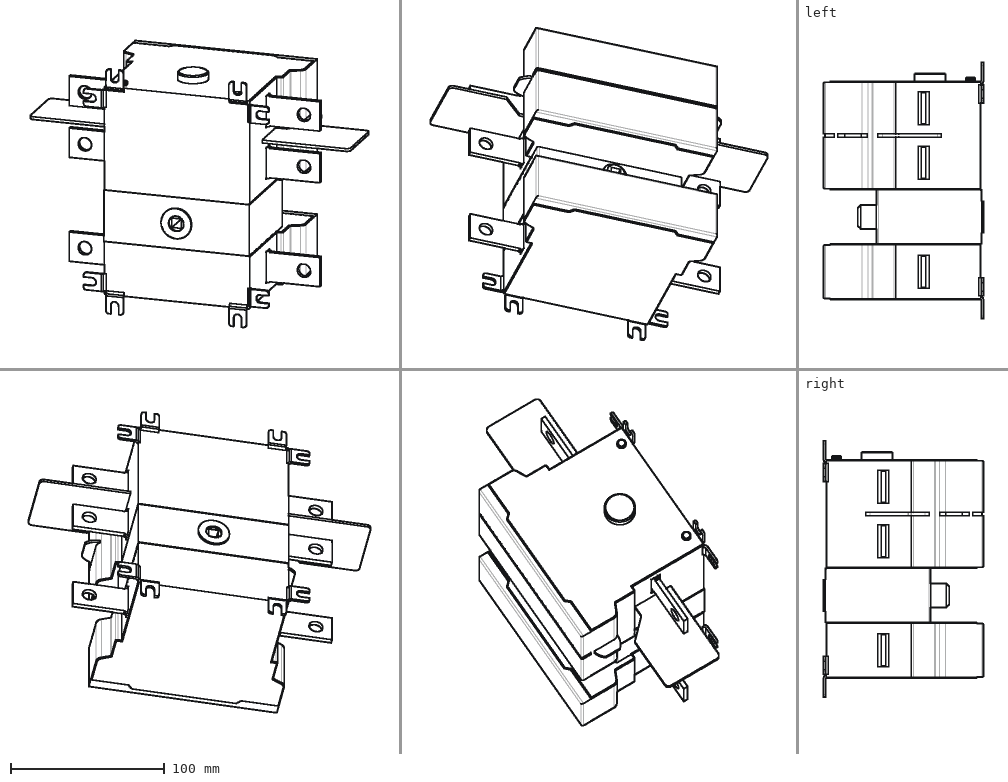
import cadquery as cq

BODY_HALF_WIDTH = 50.0
WAIST_HALF_WIDTH = 54.0
BACK_HALF_WIDTH = 62.5
WAIST_Y = 55.5
SLOPE_START_Y = 70.8
SLOPE_END_Y = 74.8
BACK_Y = 102.5
WAIST_ROUND = 1.3
SHOULDER_ROUND = 4.5
SLOPE_FOOT_ROUND = 0.9
BACK_EDGE_ROUND = 1.3
END_EDGE_CHAMFER = 0.7

COVER_INSET = 0.7
COVER_SIDE_Y = 95.3
COVER_MIDDLE_Y = 98.3
COVER_STEP_OUTER = 37.6
COVER_STEP_INNER = 34.8

DRIVE_HALF_HEIGHT = 17.5
UPPER_MODULE_HEIGHT = 70.8
LOWER_MODULE_HEIGHT = 36.3
STACK_TOP = DRIVE_HALF_HEIGHT + UPPER_MODULE_HEIGHT
STACK_BOTTOM = -DRIVE_HALF_HEIGHT - LOWER_MODULE_HEIGHT
BARRIER_Z = DRIVE_HALF_HEIGHT + UPPER_MODULE_HEIGHT / 2
POLE_PITCH = UPPER_MODULE_HEIGHT / 2
POLE_HEIGHTS = (
    BARRIER_Z + POLE_PITCH / 2,
    BARRIER_Z - POLE_PITCH / 2,
    -DRIVE_HALF_HEIGHT - LOWER_MODULE_HEIGHT / 2,
)

DRIVE_FRONT_Y = -0.7
DRIVE_BACK_Y = 68.0
DRIVE_EDGE_ROUND = 1.3
DISC_RADIUS = 10.3
DISC_FRONT_Y = -2.0
DISC_BORE_RADIUS = 5.17
DISC_BORE_DEPTH = 1.3
SHAFT_SQUARE = 6.4
HUB_RADIUS = 8.0
HUB_BACK_Y = 80.0
HUB_CHAMFER = 2.0

BLADE_TIP_X = 86.0
BLADE_HEIGHT = 20.0
BLADE_THICKNESS = 3.0
BLADE_Y = 37.2
BLADE_HOLE_X = 75.2
BLADE_HOLE_DIAMETER = 9.0
BLADE_FLARE_X = 52.0
WINDOW_HEIGHT = 21.3
WINDOW_WIDTH = 7.0
WINDOW_DEPTH = 8.8

BARRIER_HALF_WIDTH = 110.0
BARRIER_THICKNESS = 2.0
BARRIER_FRONT_Y = 25.5
BARRIER_BACK_Y = 66.9
BARRIER_NECK_Y = 53.2
BARRIER_NECK_X = 57.5
BARRIER_SLANT_X = 70.8
BARRIER_ROUND = 2.9
FLANGE_HALF_WIDTH = 69.7
FLANGE_FRONT_Y = 74.0
FLANGE_BACK_Y = 93.0
FLANGE_SIDE_FRONT_Y = 77.7
FLANGE_SIDE_BACK_Y = 88.7
FLANGE_BULGE = 0.9
GROOVE_DEPTH = 1.0

LUG_WIDTH = 11.9
LUG_FRONT_Y = -2.0
LUG_BACK_Y = -0.33
LUG_SLOT_WIDTH = 5.5
LUG_SLOT_DEPTH = 8.5
LUG_TIP_ROUND = 2.0
LUG_BEND_DROP = 1.3
LUG_BEND_Y = -1.5
LUG_ROOT_DROP = 2.9
VERTICAL_LUG_X = 42.2
VERTICAL_LUG_REACH = 12.3
SIDE_LUG_REACH = 13.6
SIDE_LUG_INSET = 8.4
LUG_LENGTH = 12.0

BUTTON_Y = 33.0
BUTTON_RADIUS = 10.1
BUTTON_HEIGHT = 5.3
BUTTON_CHAMFER = 0.9
STUD_X = 39.2
STUD_Y = 6.5
STUD_STEM_RADIUS = 2.5
STUD_HEAD_RADIUS = 2.97
STUD_STEM_HEIGHT = 0.9
STUD_HEAD_HEIGHT = 1.8
STUD_CHAMFER = 0.77

EMBED = 1.0


def both_sides(shape):
    """Return the shape joined with its mirror image across X = 0."""
    return shape.union(shape.mirror("YZ"))


def plate(points, z_middle, thickness):
    """Extrude an XY outline symmetrically about a height."""
    return (
        cq.Workplane("XY", origin=(0, 0, z_middle - thickness / 2))
        .polyline(points).close().extrude(thickness)
    )


def front_profile(back_half):
    """Close a housing outline whose rear points are given for the +X half, from side to middle."""
    right = [
        (BODY_HALF_WIDTH, 0),
        (BODY_HALF_WIDTH, WAIST_Y),
        (WAIST_HALF_WIDTH, WAIST_Y),
        (WAIST_HALF_WIDTH, SLOPE_START_Y),
        (BACK_HALF_WIDTH, SLOPE_END_Y),
    ] + back_half
    left = [(-x, y) for x, y in reversed(right)]
    return right + left


def round_profile_corners(body):
    """Round the vertical edges of the housing waist and shoulder."""
    corners = (
        (WAIST_HALF_WIDTH, WAIST_Y, WAIST_ROUND),
        (WAIST_HALF_WIDTH, SLOPE_START_Y, SLOPE_FOOT_ROUND),
        (BACK_HALF_WIDTH, SLOPE_END_Y, SHOULDER_ROUND),
    )
    reach = 0.2
    for x, y, radius in corners:
        for side in (-1, 1):
            corner = cq.selectors.BoxSelector(
                (side * x - reach, y - reach, -220), (side * x + reach, y + reach, 220)
            )
            body = body.edges("|Z").edges(corner).fillet(radius)
    return body


def module(bottom, height):
    """Switch module: a housing and a slightly shorter rear cover.

    The end edges of the housing are chamfered except at the front.
    """
    middle = bottom + height / 2
    housing_back = [
        (BACK_HALF_WIDTH, COVER_SIDE_Y),
        (COVER_STEP_OUTER, COVER_SIDE_Y),
        (COVER_STEP_INNER, COVER_MIDDLE_Y),
    ]
    housing = round_profile_corners(plate(front_profile(housing_back), middle, height))
    housing = housing.faces("<Z or >Z").edges("not <Y").chamfer(END_EDGE_CHAMFER)

    cover_height = height - 2 * COVER_INSET
    cover_depth = BACK_Y - SLOPE_END_Y - SHOULDER_ROUND
    cover = (
        cq.Workplane("XY")
        .box(2 * BACK_HALF_WIDTH, cover_depth, cover_height)
        .faces(">Y").edges().fillet(BACK_EDGE_ROUND)
        .translate((0, BACK_Y - cover_depth / 2, middle))
    )
    return housing.union(cover)


def cover_groove():
    """Narrow groove around the upper cover at the joint between its two poles."""
    depth = BACK_Y - COVER_SIDE_Y
    outer = cq.Workplane("XY").box(2 * BACK_HALF_WIDTH, depth, BARRIER_THICKNESS)
    core = (
        cq.Workplane("XY")
        .box(2 * (BACK_HALF_WIDTH - GROOVE_DEPTH), depth, BARRIER_THICKNESS)
        .translate((0, -GROOVE_DEPTH, 0))
    )
    return outer.cut(core).translate((0, BACK_Y - depth / 2, BARRIER_Z))


def drive_unit():
    """Central block with a front disc and a rear hub."""
    depth = DRIVE_BACK_Y - DRIVE_FRONT_Y
    block = (
        cq.Workplane("XY")
        .box(2 * BODY_HALF_WIDTH, depth, 2 * DRIVE_HALF_HEIGHT)
        .edges("|Z and >Y").fillet(DRIVE_EDGE_ROUND)
        .translate((0, DRIVE_FRONT_Y + depth / 2, 0))
    )
    disc = (
        cq.Workplane("XZ", origin=(0, DISC_FRONT_Y, 0))
        .circle(DISC_RADIUS).extrude(DISC_FRONT_Y - DRIVE_FRONT_Y - EMBED)
    )
    hub = (
        cq.Workplane("XZ", origin=(0, HUB_BACK_Y, 0))
        .circle(HUB_RADIUS).extrude(HUB_BACK_Y - DRIVE_BACK_Y + EMBED)
        .faces(">Y").chamfer(HUB_CHAMFER)
    )
    return block.union(disc).union(hub)


def shaft_passage():
    """Square shaft hole right through the drive unit, with a round bore at the disc."""
    length = HUB_BACK_Y - DISC_FRONT_Y
    square = (
        cq.Workplane("XZ", origin=(0, HUB_BACK_Y, 0))
        .rect(SHAFT_SQUARE, SHAFT_SQUARE).extrude(length)
    )
    bore = (
        cq.Workplane("XZ", origin=(0, DISC_FRONT_Y + DISC_BORE_DEPTH, 0))
        .circle(DISC_BORE_RADIUS).extrude(DISC_BORE_DEPTH)
    )
    return square.union(bore)


def blade_window(z):
    """Pair of side recesses through which a pole's blades leave the housing."""
    recess = (
        cq.Workplane("XY")
        .box(2 * WINDOW_DEPTH, WINDOW_WIDTH, WINDOW_HEIGHT)
        .translate((BODY_HALF_WIDTH, BLADE_Y, z))
    )
    return both_sides(recess)


def blades(z):
    """Pair of terminal blades, flared at the root to the height of the window."""
    half = BLADE_HEIGHT / 2
    root_half = WINDOW_HEIGHT / 2
    flare = root_half - half
    root_x = BODY_HALF_WIDTH - WINDOW_DEPTH - EMBED
    upper = [
        (root_x, root_half),
        (BLADE_FLARE_X - flare, root_half),
        (BLADE_FLARE_X, half),
        (BLADE_TIP_X, half),
    ]
    lower = [(x, -height) for x, height in reversed(upper)]
    blade = (
        cq.Workplane("XZ", origin=(0, BLADE_Y + BLADE_THICKNESS / 2, z))
        .polyline(upper + lower).close()
        .moveTo(BLADE_HOLE_X, 0).circle(BLADE_HOLE_DIAMETER / 2)
        .extrude(BLADE_THICKNESS)
    )
    return both_sides(blade)


def barrier():
    """Flat phase barrier projecting from both sides between the upper poles."""
    inner_x = BODY_HALF_WIDTH - EMBED
    outline = [
        (inner_x, BARRIER_FRONT_Y),
        (BARRIER_HALF_WIDTH, BARRIER_FRONT_Y),
        (BARRIER_HALF_WIDTH, BARRIER_BACK_Y),
        (BARRIER_SLANT_X, BARRIER_BACK_Y),
        (BARRIER_NECK_X, BARRIER_NECK_Y),
        (inner_x, BARRIER_NECK_Y),
    ]
    half = plate(outline, BARRIER_Z, BARRIER_THICKNESS)
    half = half.edges("|Z and >X").fillet(BARRIER_ROUND)
    return both_sides(half)


def flange():
    """Thin flange with arched corners beside the rear of the upper module."""
    inner_x = BACK_HALF_WIDTH - SHOULDER_ROUND
    mid_x = (BACK_HALF_WIDTH + FLANGE_HALF_WIDTH) / 2
    front_mid_y = (FLANGE_FRONT_Y + FLANGE_SIDE_FRONT_Y) / 2 - FLANGE_BULGE
    back_mid_y = (FLANGE_BACK_Y + FLANGE_SIDE_BACK_Y) / 2 + FLANGE_BULGE
    half = (
        cq.Workplane("XY", origin=(0, 0, BARRIER_Z - BARRIER_THICKNESS / 2))
        .moveTo(inner_x, FLANGE_FRONT_Y)
        .lineTo(BACK_HALF_WIDTH, FLANGE_FRONT_Y)
        .threePointArc((mid_x, front_mid_y), (FLANGE_HALF_WIDTH, FLANGE_SIDE_FRONT_Y))
        .lineTo(FLANGE_HALF_WIDTH, FLANGE_SIDE_BACK_Y)
        .threePointArc((mid_x, back_mid_y), (BACK_HALF_WIDTH, FLANGE_BACK_Y))
        .lineTo(inner_x, FLANGE_BACK_Y)
        .close().extrude(BARRIER_THICKNESS)
    )
    return both_sides(half)


def lug():
    """Slotted lug pointing up +Z with its tip at Z = 0, bent back into the housing front."""
    foot = -LUG_LENGTH
    section = [
        (LUG_FRONT_Y, 0),
        (LUG_FRONT_Y, foot),
        (LUG_BEND_Y, foot - LUG_BEND_DROP),
        (0, foot - LUG_ROOT_DROP),
        (EMBED, foot - LUG_ROOT_DROP),
        (EMBED, foot - LUG_BEND_DROP),
        (LUG_BACK_Y, foot),
        (LUG_BACK_Y, 0),
    ]
    slot_radius = LUG_SLOT_WIDTH / 2
    slot_end = slot_radius - LUG_SLOT_DEPTH
    slot = (
        cq.Workplane("XZ", origin=(0, EMBED, 0))
        .moveTo(-slot_radius, 0).lineTo(-slot_radius, slot_end)
        .threePointArc((0, -LUG_SLOT_DEPTH), (slot_radius, slot_end))
        .lineTo(slot_radius, 0).close()
        .extrude(EMBED - LUG_FRONT_Y)
    )
    strip = cq.Workplane("YZ").polyline(section).close().extrude(LUG_WIDTH / 2, both=True)
    strip = strip.edges("|Y and >Z and (<X or >X)").fillet(LUG_TIP_ROUND)
    return strip.cut(slot)


def end_lugs():
    """The two end lugs and two side lugs at the top of the stack."""
    end_lug = lug().translate((VERTICAL_LUG_X, 0, STACK_TOP + VERTICAL_LUG_REACH))
    side_lug = (
        lug().rotate((0, 0, 0), (0, 1, 0), 90)
        .translate((BODY_HALF_WIDTH + SIDE_LUG_REACH, 0, STACK_TOP - SIDE_LUG_INSET))
    )
    return both_sides(end_lug.union(side_lug))


def all_lugs():
    """Lugs at the top of the stack and their mirror images at the bottom."""
    upper = end_lugs()
    stack_middle = (0, 0, (STACK_TOP + STACK_BOTTOM) / 2)
    return upper.union(upper.mirror("XY", stack_middle))


def top_button():
    """Round chamfered button on the top face."""
    return (
        cq.Workplane("XY", origin=(0, BUTTON_Y, STACK_TOP))
        .circle(BUTTON_RADIUS).extrude(BUTTON_HEIGHT)
        .faces(">Z").chamfer(BUTTON_CHAMFER)
    )


def top_studs():
    """Pair of headed studs near the front of the top face."""
    stem = (
        cq.Workplane("XY", origin=(STUD_X, STUD_Y, STACK_TOP))
        .circle(STUD_STEM_RADIUS).extrude(STUD_STEM_HEIGHT)
    )
    head = (
        cq.Workplane("XY", origin=(STUD_X, STUD_Y, STACK_TOP + STUD_STEM_HEIGHT))
        .circle(STUD_HEAD_RADIUS).extrude(STUD_HEAD_HEIGHT)
        .faces(">Z").chamfer(STUD_CHAMFER)
    )
    return both_sides(stem.union(head))


result = module(DRIVE_HALF_HEIGHT, UPPER_MODULE_HEIGHT).cut(cover_groove())
result = result.union(module(STACK_BOTTOM, LOWER_MODULE_HEIGHT))
result = result.union(drive_unit()).cut(shaft_passage())
for pole_z in POLE_HEIGHTS:
    result = result.cut(blade_window(pole_z)).union(blades(pole_z))
result = result.union(barrier()).union(flange())
result = result.union(all_lugs())
result = result.union(top_button()).union(top_studs())